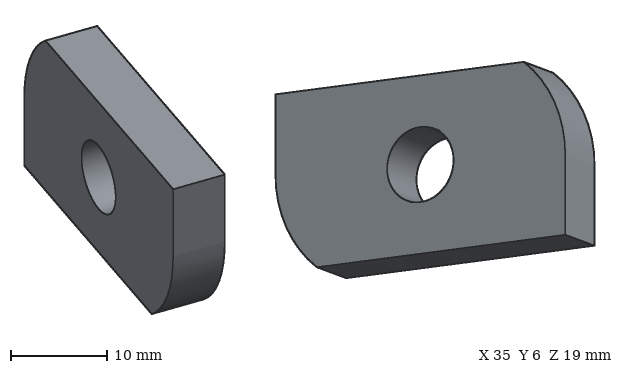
import cadquery as cq
import math

length = 35.0
thickness = 6.0
height = 19.0
hole_diameter = 8.0
corner_radius = 13.5
straight_end = 8.5

half_length = length / 2
half_height = height / 2

arc_center_x = -half_length + corner_radius
arc_center_z = -half_height + straight_end
arc_rise = height - straight_end
arc_angle = math.asin(arc_rise / corner_radius)


def corner_arc_point(angle):
    """Point on the upper-left corner arc, with the angle measured from the end face."""
    return (
        arc_center_x - corner_radius * math.cos(angle),
        arc_center_z + corner_radius * math.sin(angle),
    )


def opposite(point):
    """The point turned half a revolution about the hole axis."""
    return (-point[0], -point[1])


def front_plane():
    """Sketch plane on the front face; a negative extrusion runs back toward +Y."""
    return cq.Workplane("XZ", origin=(0, -thickness / 2, 0))


def plate():
    """Plate with two diagonally opposite rounded corners, centred on the origin."""
    square_corner = (-half_length, -half_height)
    arc_start = corner_arc_point(0)
    arc_middle = corner_arc_point(arc_angle / 2)
    arc_end = corner_arc_point(arc_angle)
    outline = (
        front_plane()
        .moveTo(*square_corner)
        .lineTo(*arc_start)
        .threePointArc(arc_middle, arc_end)
        .lineTo(*opposite(square_corner))
        .lineTo(*opposite(arc_start))
        .threePointArc(opposite(arc_middle), opposite(arc_end))
        .close()
    )
    return outline.extrude(-thickness)


def center_hole():
    """Cylinder that cuts the through hole along Y."""
    return front_plane().circle(hole_diameter / 2).extrude(-thickness)


result = plate().cut(center_hole())